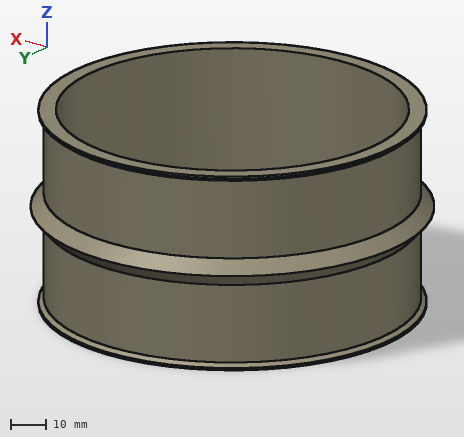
import cadquery as cq

height = 58.8
bore_radius = 100.5 / 2
wall_radius = 107.5 / 2

rim_radius = 110.5 / 2
rim_band_height = 0.7
rim_height = 1.8

ridge_radius = 115 / 2
ridge_half_height = 4.0

half_height = height / 2
rim_taper_start = half_height - rim_height
rim_band_start = half_height - rim_band_height

upper_wall = [
    (ridge_radius, 0),
    (wall_radius, ridge_half_height),
    (wall_radius, rim_taper_start),
    (rim_radius, rim_band_start),
    (rim_radius, half_height),
]
lower_wall = [(radius, -z) for radius, z in reversed(upper_wall[1:])]
bore_line = [(bore_radius, half_height), (bore_radius, -half_height)]

result = (
    cq.Workplane("XZ")
    .polyline(lower_wall + upper_wall + bore_line)
    .close()
    .revolve(360, (0, 0, 0), (0, 1, 0))
)